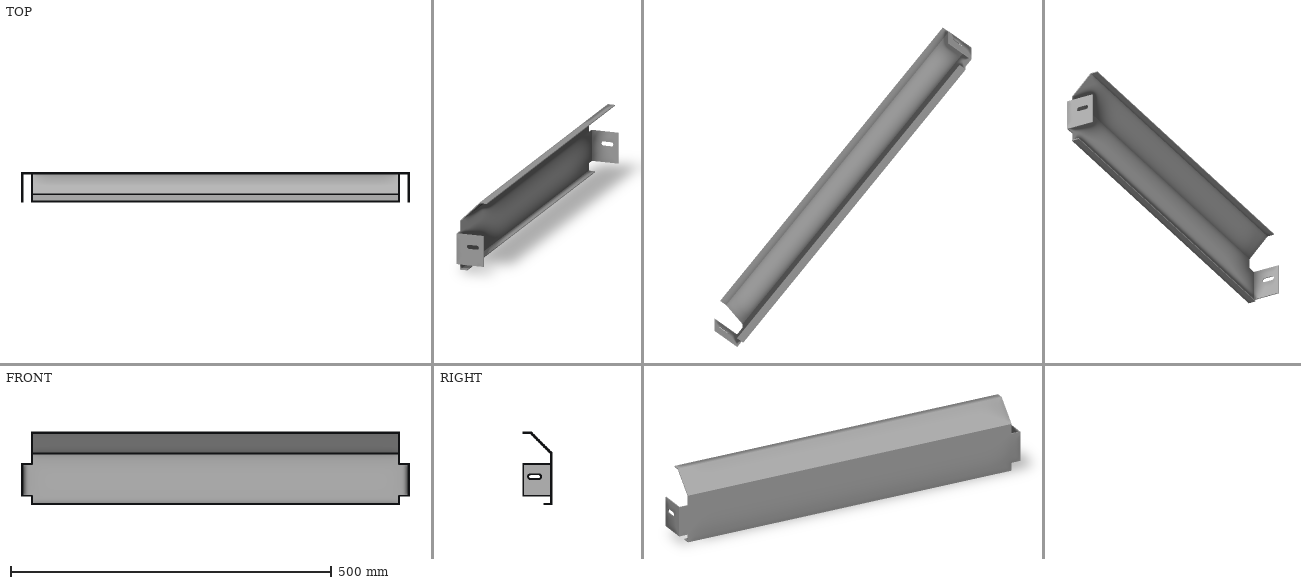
import cadquery as cq
import math

total_length = 604.0
total_depth = 45.0
total_height = 113.0
sheet = 1.5

flange_depth = 12.0
lip_depth = flange_depth
slope_angle = 45.0

tab_neck = 15.5
tab_height = 50.0
tab_bottom = 13.4

slot_length = 20.0
slot_width = 7.0
slot_setback = 27.0
slot_above_tab_bottom = 30.0

body_length = total_length - 2 * tab_neck
slope_run = total_depth - flange_depth
bend_height = total_height - slope_run * math.tan(math.radians(slope_angle))
bend_shift = sheet * math.tan(math.radians(slope_angle / 2))


def folded_body():
    """Constant sheet profile extruded along X."""
    outside = [
        (-lip_depth, 0),
        (0, 0),
        (0, bend_height),
        (-slope_run, total_height),
        (-total_depth, total_height),
    ]
    inside = [
        (-total_depth, total_height - sheet),
        (-slope_run - bend_shift, total_height - sheet),
        (-sheet, bend_height - bend_shift),
        (-sheet, sheet),
        (-lip_depth, sheet),
    ]
    profile = cq.Workplane("YZ").polyline(outside + inside).close()
    return profile.extrude(body_length / 2, both=True)


def end_tabs():
    """U-shaped strip: the web extended to both ends and folded forward, with slotted tabs."""
    half_length = total_length / 2
    half_inside = half_length - sheet
    outline = [
        (-half_length, -total_depth),
        (-half_length, 0),
        (half_length, 0),
        (half_length, -total_depth),
        (half_inside, -total_depth),
        (half_inside, -sheet),
        (-half_inside, -sheet),
        (-half_inside, -total_depth),
    ]
    strip = (
        cq.Workplane("XY")
        .workplane(offset=tab_bottom)
        .polyline(outline)
        .close()
        .extrude(tab_height)
    )
    slots = (
        cq.Workplane("YZ")
        .center(-slot_setback, tab_bottom + slot_above_tab_bottom)
        .slot2D(slot_length, slot_width)
        .extrude(total_length, both=True)
    )
    return strip.cut(slots)


result = folded_body().union(end_tabs())